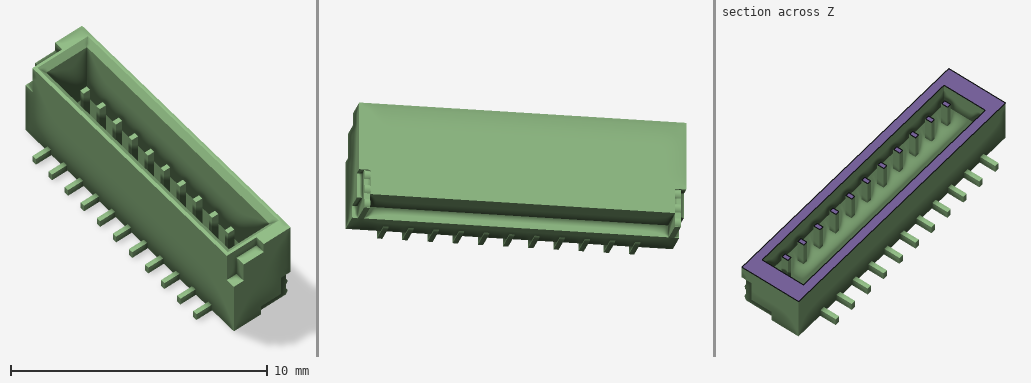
import cadquery as cq

length = 13.0
depth = 2.85
total_height = 4.3
standoff = 0.05

mouth_length = 11.88
mouth_depth = 2.54
mouth_bevel = 0.25
cavity_floor = 1.0

notch_width = 0.44
notch_long = 1.5
notch_short = 0.5

pin_count = 11
pin_pitch = 1.0
pin_width = 0.21
pin_height = 0.35
pin_reach = 0.75
foot_overlap = 0.68
foot_radius = 0.25
post_back = 0.9
post_depth = 0.31
post_top = 2.56
post_embed = 0.13

tab_inset = 0.21
tab_radius = 0.13
bead_diameter = 0.5
bead_height = 0.08
bead_spacing = 0.58
bead_count = 3
bead_first = 0.2

end_x = length / 2


def yz_prism(points, x_start, x_end):
    """Extrude a closed outline of (y, z) points along X."""
    return cq.Workplane("YZ", origin=(x_start, 0, 0)).polyline(points).close().extrude(x_end - x_start)


def yz_block(y_range, z_range, x_start, x_end):
    """Rectangular block given by its extents along Y, Z and X."""
    y_min, y_max = y_range
    z_min, z_max = z_range
    return yz_prism([(y_min, z_min), (y_max, z_min), (y_max, z_max), (y_min, z_max)], x_start, x_end)


def both_ends(solid):
    """Pair a solid at the -X end with its mirror image at the +X end."""
    return solid.union(solid.mirror("YZ"))


def make_housing():
    return cq.Workplane("XY", origin=(0, -depth / 2, standoff)).box(
        length, depth, total_height - standoff, centered=(True, True, False)
    )


def make_cavity():
    top_plane = cq.Workplane("XY", origin=(0, -depth / 2, total_height))
    inner_length = mouth_length - 2 * mouth_bevel
    inner_depth = mouth_depth - 2 * mouth_bevel
    well = top_plane.rect(inner_length, inner_depth).extrude(cavity_floor - total_height)
    bevel = top_plane.rect(mouth_length, mouth_depth).extrude(-mouth_bevel, taper=45)
    return well.union(bevel)


def l_outline(y_corner, z_corner, y_sign, z_sign):
    """L-shaped outline whose legs run from a housing corner along Y and Z."""
    steps = [
        (0, 0),
        (notch_long, 0),
        (notch_long, notch_short),
        (notch_short, notch_short),
        (notch_short, notch_long),
        (0, notch_long),
    ]
    return [(y_corner + y_sign * dy, z_corner + z_sign * dz) for dy, dz in steps]


def make_top_notches():
    outline = l_outline(-depth, total_height, 1, -1)
    return both_ends(yz_prism(outline, -end_x, -end_x + notch_width))


def make_tab_notches():
    outline = l_outline(0, standoff, -1, 1)
    return both_ends(yz_prism(outline, -end_x, -end_x + notch_width))


def make_back_step():
    """Step along the lower back edge, in line with the lower legs of the tab notches."""
    step_top = standoff + notch_short
    return yz_block((-notch_long, 0), (standoff, step_top), -end_x, end_x)


def make_tabs():
    """Solder tabs filling the inner part of the bottom notches, with beads on the back edge."""
    x_start = -end_x + tab_inset
    x_end = -end_x + notch_width
    tab_top = standoff + notch_long
    solder_face = yz_block((-notch_long, 0), (0, standoff), x_start, x_end)
    full_outline = yz_prism(l_outline(0, standoff, -1, 1), x_start, x_end).union(solder_face).clean()
    full_outline = full_outline.faces("<Y").edges("|X and <Z").fillet(tab_radius)
    edge_strip = yz_block((-bead_height, 0), (0, tab_top), x_start, x_end)
    tab = full_outline.cut(edge_strip)
    for index in range(bead_count):
        bead_z = bead_first + index * bead_spacing
        bead = (
            cq.Workplane("YZ", origin=(x_start, -bead_diameter / 2, bead_z))
            .circle(bead_diameter / 2)
            .extrude(x_end - x_start)
        )
        tab = tab.union(bead.intersect(full_outline))
    return both_ends(tab)


def make_pin(x_center):
    """Contact with a flat foot in front and a post standing in the cavity."""
    x_start = x_center - pin_width / 2
    x_end = x_center + pin_width / 2
    foot_back = -depth + foot_overlap
    foot_front = -depth - pin_reach
    foot = yz_block((foot_front, foot_back), (0, pin_height), x_start, x_end)
    foot = foot.faces(">Y").edges("|X and <Z").fillet(foot_radius)
    post_front = -post_back - post_depth
    post_base = cavity_floor - post_embed
    post = yz_block((post_front, -post_back), (post_base, post_top), x_start, x_end)
    return foot.union(post)


result = make_housing().cut(make_cavity()).cut(make_top_notches())
result = result.cut(make_tab_notches()).cut(make_back_step())
result = result.union(make_tabs())
for index in range(pin_count):
    pin_x = (index - (pin_count - 1) / 2) * pin_pitch
    result = result.union(make_pin(pin_x))